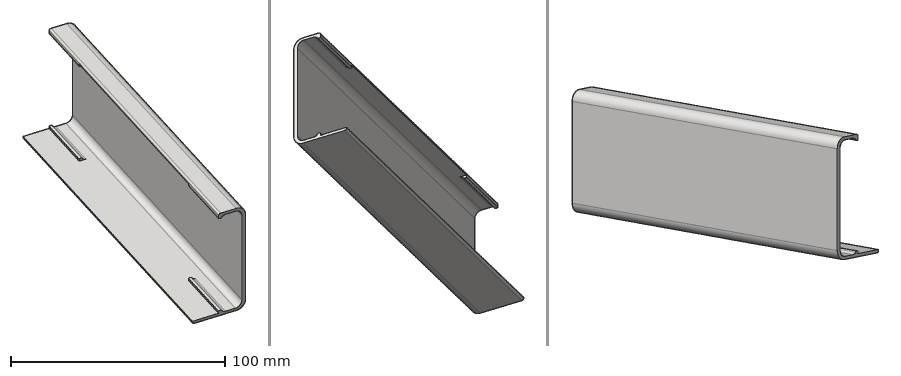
import cadquery as cq
import math

length = 169.0
depth = 28.2
height = 58.4

web_thickness = 2.0
flange_thickness = 1.5

bend_outer_radius = 5.0
bend_inner_radius = 3.5
edge_radius = 1.0

upper_flange_depth = 14.3

rib_length = 30.0
rib_height = 1.45
rib_peak_offset = 0.8
rib_crest_radius = 1.2
rib_root_radius = 2.0

lower_edge_y = -depth
upper_edge_y = -upper_flange_depth
web_inner_y = -web_thickness

floor_z = flange_thickness
ceiling_z = height - flange_thickness


def round_edge(solid, point, radius):
    """Fillet the one edge of the solid whose middle lies closest to the point."""
    return solid.edges(cq.selectors.NearestToPointSelector(point)).fillet(radius)


def rail_body():
    """Channel with a flat web, two unequal flanges and rounded bends, running along X."""
    outline = [
        (0, 0),
        (lower_edge_y, 0),
        (lower_edge_y, floor_z),
        (web_inner_y, floor_z),
        (web_inner_y, ceiling_z),
        (upper_edge_y, ceiling_z),
        (upper_edge_y, height),
        (0, height),
    ]
    body = cq.Workplane("YZ").polyline(outline).close().extrude(length)

    middle_x = length / 2
    for y, z in [(0, 0), (0, height)]:
        body = round_edge(body, (middle_x, y, z), bend_outer_radius)
    for y, z in [(web_inner_y, floor_z), (web_inner_y, ceiling_z)]:
        body = round_edge(body, (middle_x, y, z), bend_inner_radius)
    for y, z in [(lower_edge_y, 0), (upper_edge_y, height)]:
        body = round_edge(body, (middle_x, y, z), edge_radius)
    return body


def rib(start_x, root_z, direction):
    """Rib rising from a flange at root_z: direction +1 points up, -1 points down."""

    def profile_point(inset, rise):
        """Point at a distance behind the outer face and a height above the flange surface."""
        return (upper_edge_y + inset, root_z + direction * rise)

    crest_centre_rise = rib_height - rib_crest_radius
    radius_sum = rib_crest_radius + rib_root_radius
    centre_rise_gap = rib_root_radius - crest_centre_rise
    centre_inset_gap = math.sqrt(radius_sum**2 - centre_rise_gap**2)
    root_inset = rib_peak_offset + centre_inset_gap
    outer_rise = crest_centre_rise + math.sqrt(rib_crest_radius**2 - rib_peak_offset**2)
    crest_share = rib_crest_radius / radius_sum
    blend_inset = rib_peak_offset + crest_share * centre_inset_gap
    blend_rise = crest_centre_rise + crest_share * centre_rise_gap

    half_root_angle = math.asin(centre_inset_gap / radius_sum) / 2
    root_middle_inset = root_inset - rib_root_radius * math.sin(half_root_angle)
    root_middle_rise = rib_root_radius * (1 - math.cos(half_root_angle))

    buried_rise = -flange_thickness / 3
    return (
        cq.Workplane("YZ", origin=(start_x, 0, 0))
        .moveTo(*profile_point(0, buried_rise))
        .lineTo(*profile_point(0, outer_rise))
        .threePointArc(profile_point(rib_peak_offset, rib_height), profile_point(blend_inset, blend_rise))
        .threePointArc(profile_point(root_middle_inset, root_middle_rise), profile_point(root_inset, 0))
        .lineTo(*profile_point(root_inset, buried_rise))
        .close()
        .extrude(rib_length)
    )


result = rail_body()
for rib_start_x in (0, length - rib_length):
    result = result.union(rib(rib_start_x, floor_z, 1))
    result = result.union(rib(rib_start_x, ceiling_z, -1))
result = result.clean()